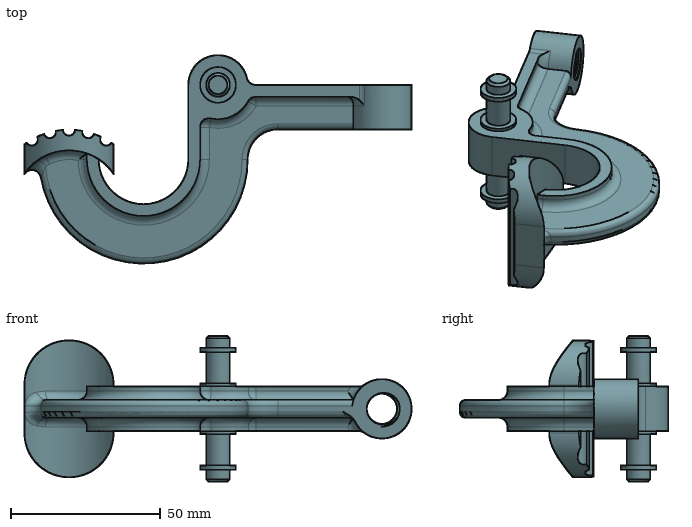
import cadquery as cq
import math

FLANGE_HALF = 7.5
FLANGE_WIDTH = 4.0
WEB_HALF = 3.0
WEB_ROUND = 2.0
BLEND = 3.0

BOSS_R = 10.0
BOSS_LAND_R = 11.5

HOOK_X = -25.0
HOOK_Y = -25.0
HOOK_IN_R = 15.0
HOOK_OUT_R = 35.0
HOOK_BURIED = 4.0

ARM_WIDTH = 15.0
ELBOW_R = 10.0

EYE_X = 55.0
EYE_R = 10.0
THREAD_MINOR_R = 5.05
THREAD_MAJOR_R = 6.0
THREAD_PITCH = 1.75
THREAD_MOUTH = 0.85
THREAD_FLAT = 0.12
THREAD_OVERLAP = 0.3
THREAD_START = 154.0

PAD_X = -50.0
PAD_ARC_Y = -40.0
PAD_TOP_R = 25.0
PAD_WIDTH = 30.0
PAD_HEIGHT = 46.0
PAD_TIP_RISE = 10.0
GROOVE_R = 2.0
GROOVE_STEP = 15.0
GROOVE_COUNT = 5

PIN_R = 4.0
PIN_HALF = 24.5
PIN_CHAMFER = 0.9
COLLAR_R = 6.0
COLLAR_THICK = 1.0
RING_INNER_Z = 19.0
RING_THICK = 1.5

HOOK_END_Y = HOOK_Y + HOOK_BURIED
HOOK_RIGHT_X = HOOK_X + HOOK_OUT_R
FLANGE_R = HOOK_IN_R + FLANGE_WIDTH
FLANGE_RIGHT_X = HOOK_X + FLANGE_R
LAND_CORNER_X = math.sqrt(BOSS_LAND_R**2 - FLANGE_WIDTH**2)
LAND_CORNER_Y = -math.sqrt(BOSS_LAND_R**2 - FLANGE_RIGHT_X**2)
LAND_MID = math.radians(20)
PAD_BOTTOM_R = math.hypot(PAD_WIDTH / 2, PAD_TIP_RISE)


def plate(outline, half):
    """Close an XY outline and extrude it to Z = half and Z = -half."""
    return outline.close().extrude(half, both=True)


def on_both_sides(points, half):
    """Lift XY points to the planes Z = half and Z = -half."""
    return [(x, y, z) for z in (half, -half) for x, y in points]


def fillet_at(solid, points, radius):
    """Fillet the edge that lies closest to each of the given points."""
    edges = []
    for point in points:
        vertex = cq.Vertex.makeVertex(*point)
        edges.append(min(solid.edges().vals(), key=lambda edge: edge.distance(vertex)))
    return solid.newObject(edges).fillet(radius)


def make_web():
    """Thin plate of hook and arm; its inner border lies inside the flange."""
    mid_r = HOOK_IN_R + FLANGE_WIDTH / 2
    mid_y = -FLANGE_WIDTH / 2
    outline = (
        cq.Workplane("XY")
        .moveTo(HOOK_X - HOOK_OUT_R, HOOK_END_Y)
        .lineTo(HOOK_X - HOOK_OUT_R, HOOK_Y)
        .threePointArc((HOOK_X, HOOK_Y - HOOK_OUT_R), (HOOK_RIGHT_X, HOOK_Y))
        .radiusArc((HOOK_RIGHT_X + ELBOW_R, -ARM_WIDTH), ELBOW_R)
        .lineTo(EYE_X, -ARM_WIDTH)
        .lineTo(EYE_X, mid_y)
        .lineTo(HOOK_X + mid_r, mid_y)
        .lineTo(HOOK_X + mid_r, HOOK_Y)
        .threePointArc((HOOK_X, HOOK_Y - mid_r), (HOOK_X - mid_r, HOOK_Y))
        .lineTo(HOOK_X - mid_r, HOOK_END_Y)
    )
    web = plate(outline, WEB_HALF)
    elbow_mid = ELBOW_R * (1 - math.sqrt(0.5))
    outer_path = [
        (HOOK_X - HOOK_OUT_R, (HOOK_Y + HOOK_END_Y) / 2),
        (HOOK_X, HOOK_Y - HOOK_OUT_R),
        (HOOK_RIGHT_X + elbow_mid, -ARM_WIDTH - elbow_mid),
        ((HOOK_RIGHT_X + ELBOW_R + EYE_X) / 2, -ARM_WIDTH),
    ]
    return fillet_at(web, on_both_sides(outer_path, WEB_HALF), WEB_ROUND)


def make_flange():
    """Thick band along the inside of the hook, the pin boss and the top of the arm."""
    notch_x = math.sqrt((BOSS_R + BLEND)**2 - BLEND**2)
    to_boss = BOSS_R / (BOSS_R + BLEND)
    outline = (
        cq.Workplane("XY")
        .moveTo(HOOK_X - HOOK_IN_R, HOOK_END_Y)
        .lineTo(HOOK_X - HOOK_IN_R, HOOK_Y)
        .threePointArc((HOOK_X, HOOK_Y - HOOK_IN_R), (HOOK_X + HOOK_IN_R, HOOK_Y))
        .lineTo(-BOSS_R, 0)
        .threePointArc((0, BOSS_R), (notch_x * to_boss, BLEND * to_boss))
        .radiusArc((notch_x, 0), -BLEND)
        .lineTo(EYE_X, 0)
        .lineTo(EYE_X, -FLANGE_WIDTH)
        .lineTo(LAND_CORNER_X, -FLANGE_WIDTH)
        .radiusArc((FLANGE_RIGHT_X, LAND_CORNER_Y), BOSS_LAND_R)
        .lineTo(FLANGE_RIGHT_X, HOOK_Y)
        .threePointArc((HOOK_X, HOOK_Y - FLANGE_R), (HOOK_X - FLANGE_R, HOOK_Y))
        .lineTo(HOOK_X - FLANGE_R, HOOK_END_Y)
    )
    flange = plate(outline, FLANGE_HALF)
    corners = [(LAND_CORNER_X, -FLANGE_WIDTH, 0), (FLANGE_RIGHT_X, LAND_CORNER_Y, 0)]
    return fillet_at(flange, corners, BLEND)


def make_pad():
    """Curved pad between two concentric arcs, with a stadium outline along Y."""
    half = PAD_WIDTH / 2
    top_tip_y = PAD_ARC_Y + math.sqrt(PAD_TOP_R**2 - half**2)
    tip_y = PAD_ARC_Y + PAD_TIP_RISE
    section = (
        cq.Workplane("XY")
        .moveTo(PAD_X - half, tip_y)
        .threePointArc((PAD_X, PAD_ARC_Y + PAD_BOTTOM_R), (PAD_X + half, tip_y))
        .lineTo(PAD_X + half, top_tip_y)
        .threePointArc((PAD_X, PAD_ARC_Y + PAD_TOP_R), (PAD_X - half, top_tip_y))
    )
    pad = plate(section, PAD_HEIGHT / 2)
    stadium = (
        cq.Workplane("XZ")
        .center(PAD_X, 0)
        .slot2D(PAD_HEIGHT, PAD_WIDTH, 90)
        .extrude(-2 * PAD_ARC_Y, both=True)
    )
    return pad.intersect(stadium)


def make_grooves():
    """Cutters for the round grip grooves across the pad's top face."""
    grooves = cq.Workplane("XY")
    for i in range(GROOVE_COUNT):
        angle = math.radians((i - (GROOVE_COUNT - 1) / 2) * GROOVE_STEP)
        x = PAD_X + PAD_TOP_R * math.sin(angle)
        y = PAD_ARC_Y + PAD_TOP_R * math.cos(angle)
        groove = cq.Workplane("XY").center(x, y).circle(GROOVE_R).extrude(PAD_HEIGHT, both=True)
        grooves = grooves.union(groove)
    return grooves


def make_pin():
    """Chamfered pin with a collar and a ring on each side of the lever."""
    pin = cq.Workplane("XY").circle(PIN_R).extrude(PIN_HALF, both=True)
    pin = pin.faces("<Z or >Z").chamfer(PIN_CHAMFER)
    collars = cq.Workplane("XY").circle(COLLAR_R).extrude(FLANGE_HALF + COLLAR_THICK, both=True)
    ring = cq.Workplane("XY").workplane(offset=RING_INNER_Z).circle(COLLAR_R).extrude(RING_THICK)
    return pin.union(collars).union(ring).union(ring.mirror("XY"))


def eye_cylinder(radius):
    """Cylinder on the eye axis, as long as the arm is wide."""
    return cq.Workplane("XZ").center(EYE_X, 0).circle(radius).extrude(ARM_WIDTH)


def make_thread():
    """Helical groove of the eye's internal thread, trimmed to the length of the eye."""
    inner_r = THREAD_MINOR_R - THREAD_OVERLAP
    half_mouth = THREAD_PITCH * THREAD_MOUTH / 2
    half_flat = THREAD_PITCH * THREAD_FLAT / 2
    profile = (
        cq.Workplane("XZ")
        .moveTo(inner_r, -half_mouth)
        .lineTo(THREAD_MAJOR_R, -half_flat)
        .lineTo(THREAD_MAJOR_R, half_flat)
        .lineTo(inner_r, half_mouth)
        .close()
    )
    helix = cq.Wire.makeHelix(THREAD_PITCH, ARM_WIDTH + 2 * THREAD_PITCH, THREAD_MAJOR_R)
    groove = profile.sweep(cq.Workplane(obj=helix), isFrenet=True)
    groove = groove.rotate((0, 0, 0), (0, 0, 1), THREAD_START)
    groove = groove.rotate((0, 0, 0), (1, 0, 0), 90).translate((EYE_X, THREAD_PITCH, 0))
    return groove.intersect(eye_cylinder(EYE_R))


def blend_floor(web, flange):
    """Join web and flange with a concave blend along the foot of the flange wall."""
    path = [
        (HOOK_X, HOOK_Y - FLANGE_R),
        (FLANGE_RIGHT_X, (HOOK_Y + LAND_CORNER_Y) / 2),
        (BOSS_LAND_R * math.sin(LAND_MID), -BOSS_LAND_R * math.cos(LAND_MID)),
        ((LAND_CORNER_X + EYE_X) / 2, -FLANGE_WIDTH),
    ]
    return fillet_at(web.union(flange), on_both_sides(path, WEB_HALF), BLEND)


def blend_pad(web, pad):
    """Join web and pad with a blend around the hook tip."""
    crown = (PAD_X, PAD_ARC_Y + PAD_BOTTOM_R)
    tip = (HOOK_X - HOOK_OUT_R, HOOK_Y, 0)
    return fillet_at(web.union(pad), on_both_sides([crown], WEB_HALF) + [tip], BLEND)


def eye_side_x(z):
    """X of the eye surface facing the arm at height z."""
    return EYE_X - math.sqrt(EYE_R**2 - z**2)


def blend_eye(web, flange):
    """Join arm and eye; the web itself is blended on its lower face only."""
    wall_z = (WEB_HALF + FLANGE_HALF) / 2
    spots = (
        on_both_sides([(eye_side_x(FLANGE_HALF), -FLANGE_WIDTH / 2)], FLANGE_HALF)
        + on_both_sides([(eye_side_x(wall_z), -FLANGE_WIDTH)], wall_z)
        + [(eye_side_x(WEB_HALF), -ARM_WIDTH / 2, -WEB_HALF)]
    )
    return fillet_at(web.union(flange).union(eye_cylinder(EYE_R)), spots, BLEND)


web = make_web()
flange = make_flange()
casting = blend_floor(web, flange)
casting = casting.union(blend_pad(web, make_pad()))
casting = casting.union(blend_eye(web, flange))
bore = eye_cylinder(THREAD_MINOR_R)
casting = casting.cut(make_grooves()).cut(bore).cut(make_thread())
result = casting.union(make_pin())